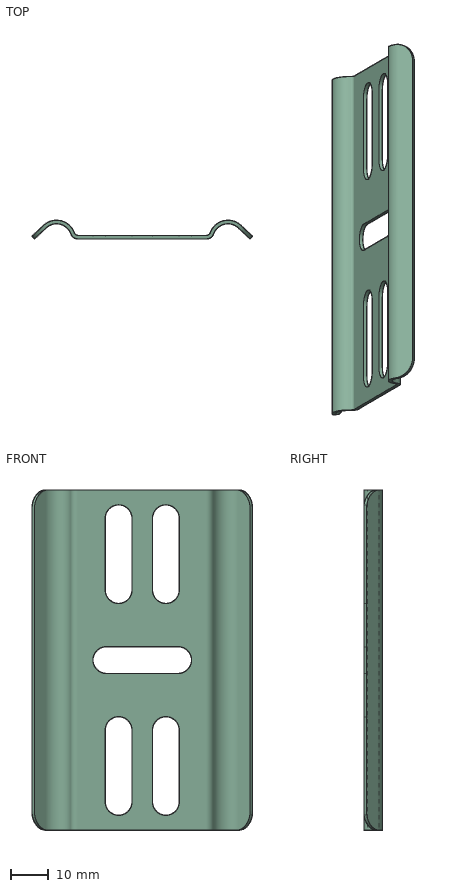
import cadquery as cq
import math

plate_width = 58.37
plate_height = 90.0
thickness = 1.0

ridge_inner_radius = 4.0
ridge_outer_radius = ridge_inner_radius + thickness
bend_inner_radius = 1.0
bend_outer_radius = bend_inner_radius + thickness
lip_slope = math.radians(43.2)
lip_corner_radius = 5.0

slot_length = 26.0
slot_width = 7.0
slot_column_x = 6.25
slot_row_z = 28.0
along_x = 0
along_z = 90

cut_depth = 2 * thickness

tip_inner_reach = ridge_inner_radius / math.sin(lip_slope)
tip_outer_reach = tip_inner_reach + thickness * math.sin(lip_slope)
ridge_x = plate_width / 2 - tip_outer_reach

centre_distance = ridge_inner_radius + bend_outer_radius
bend_angle = math.acos(bend_outer_radius / centre_distance)
bend_x = ridge_x - centre_distance * math.sin(bend_angle)


def around(centre_x, centre_y, radius, angle):
    """Point at the given angle from +Y, turning toward +X."""
    return (centre_x + radius * math.sin(angle), centre_y + radius * math.cos(angle))


def on_ridge(radius, angle):
    """Point on the ridge; angle 0 is its crest and positive angles lean outward."""
    return around(ridge_x, 0, radius, angle)


def on_bend(radius, angle):
    """Point on the bend; angle 0 is where it leaves the flat web."""
    return around(bend_x, bend_outer_radius, radius, math.pi - angle)


def half_sheet():
    """Bent sheet on the +X side of the middle plane."""
    ridge_middle = (lip_slope - bend_angle) / 2
    tip_inner = (ridge_x + tip_inner_reach, 0)
    tip_outer = (ridge_x + tip_outer_reach, thickness * math.cos(lip_slope))
    profile = (
        cq.Workplane("XY")
        .moveTo(0, 0)
        .lineTo(bend_x, 0)
        .threePointArc(on_bend(bend_outer_radius, bend_angle / 2), on_bend(bend_outer_radius, bend_angle))
        .threePointArc(on_ridge(ridge_inner_radius, ridge_middle), on_ridge(ridge_inner_radius, lip_slope))
        .lineTo(*tip_inner)
        .lineTo(*tip_outer)
        .lineTo(*on_ridge(ridge_outer_radius, lip_slope))
        .threePointArc(on_ridge(ridge_outer_radius, ridge_middle), on_ridge(ridge_outer_radius, -bend_angle))
        .threePointArc(on_bend(bend_inner_radius, bend_angle / 2), on_bend(bend_inner_radius, 0))
        .lineTo(0, thickness)
        .close()
    )
    return profile.extrude(plate_height / 2, both=True)


def lip_corner_cutter():
    """Waste outside the rounded top corner of the +X lip, square to the lip."""
    tip_plane = cq.Plane(
        origin=(ridge_x + tip_inner_reach, 0, plate_height / 2),
        xDir=(math.cos(lip_slope), -math.sin(lip_slope), 0),
        normal=(math.sin(lip_slope), math.cos(lip_slope), 0),
    )
    arc_middle = lip_corner_radius * (1 - math.sqrt(0.5))
    return (
        cq.Workplane(tip_plane)
        .moveTo(0, 0)
        .lineTo(-lip_corner_radius, 0)
        .threePointArc((-arc_middle, arc_middle), (0, lip_corner_radius))
        .close()
        .extrude(cut_depth, both=True)
    )


def slot(x, z, angle):
    """Cutter for a round-ended slot through the flat web, turned by angle in degrees."""
    return (
        cq.Workplane("XZ")
        .center(x, z)
        .slot2D(slot_length, slot_width, angle)
        .extrude(cut_depth, both=True)
    )


corner = lip_corner_cutter()
half = half_sheet().cut(corner).cut(corner.mirror("XY"))
result = half.union(half.mirror("YZ"))

result = result.cut(slot(0, 0, along_x))
for x in (-slot_column_x, slot_column_x):
    for z in (-slot_row_z, slot_row_z):
        result = result.cut(slot(x, z, along_z))